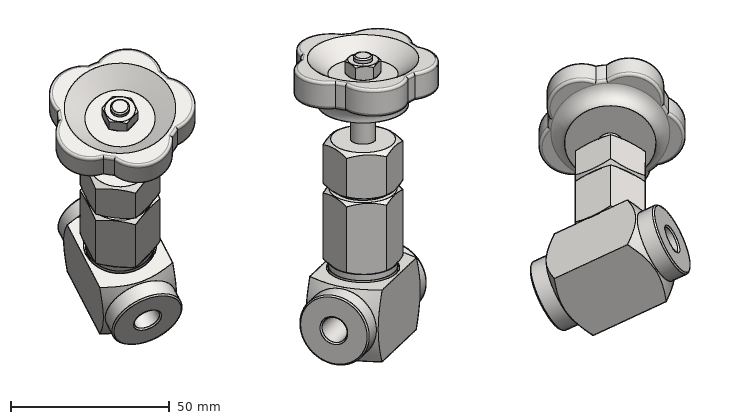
import cadquery as cq
import math

BLOCK_LENGTH = 33.0
BLOCK_SIDE = 25.0
BODY_LENGTH = 44.95
PIPE_END_DIAMETER = 24.0
PIPE_END_CHAMFER = 0.5
PORT_DIAMETER = 8.6
PORT_DEPTH = 13.8
PORT_CHAMFER = 0.5
CORNER_CUT_ANGLE = 30.0

HEX_ACROSS_FLATS = 22.0
NECK_DIAMETER = 21.9
NECK_BOTTOM = 25.4
SHANK_DIAMETER = 21.8
SEAT_DIAMETER = 23.0
SEAT_DEPTH = 1.0
BONNET_BOTTOM = 27.5
BONNET_TOP = 52.5
BONNET_CROWN_DIAMETER = 21.5
GROOVE_DIAMETER = 18.2
GLAND_BOTTOM = 53.4
GLAND_TOP = 69.6
GLAND_CROWN_DIAMETER = 20.45
STEM_DIAMETER = 8.0

HUB_BOTTOM = 81.9
HUB_BOTTOM_RADIUS = 14.4
HUB_FLARE_RADIUS = 18.8
HUB_FLARE_MID_RADIUS = 15.8
HUB_FLARE_MID_HEIGHT = 86.4
RIM_BOTTOM = 88.1
RIM_TOP = 97.7
LOBE_COUNT = 5
LOBE_ANGLE = 3.0
LOBE_OFFSET = 12.8
LOBE_RADIUS = 11.0
RIM_DISC_RADIUS = 19.8
RIM_FILLET = 1.0
DISH_TOP_RADIUS = 17.6
DISH_FLOOR_RADIUS = 11.1
DISH_FLOOR = 92.3

NUT_ACROSS_FLATS = 10.0
NUT_CROWN_DIAMETER = 9.7
NUT_TOP = 97.2
STUD_DIAMETER = 6.0
STUD_CHAMFER = 0.5
TOTAL_HEIGHT = 98.8

CROWN_SLOPE = math.tan(math.radians(CORNER_CUT_ANGLE))


def cylinder(diameter, bottom, top):
    """Upright cylinder on the stem axis."""
    return cq.Workplane("XY").workplane(offset=bottom).circle(diameter / 2).extrude(top - bottom)


def crown_envelope(crown_radius, outer_radius, bottom, top):
    """Solid of revolution about Z whose ends taper at the crown slope from outer_radius to crown_radius."""
    drop = (outer_radius - crown_radius) * CROWN_SLOPE
    outline = [
        (0, bottom),
        (crown_radius, bottom),
        (outer_radius, bottom + drop),
        (outer_radius, top - drop),
        (crown_radius, top),
        (0, top),
    ]
    return cq.Workplane("XZ").polyline(outline).close().revolve(360, (0, 0), (0, 1))


def crowned_hexagon(across_flats, crown_diameter, bottom, top):
    """Upright hexagon with corners on X and conically chamfered ends."""
    across_corners = across_flats / math.cos(math.pi / 6)
    prism = cq.Workplane("XY").workplane(offset=bottom).polygon(6, across_corners).extrude(top - bottom)
    envelope = crown_envelope(crown_diameter / 2, across_corners, bottom, top)
    return prism.intersect(envelope)


def make_body():
    """Square block with conically cut ends, round pipe ends, blind ports and a shallow bonnet seat."""
    block = cq.Workplane("XY").box(BLOCK_LENGTH, BLOCK_SIDE, BLOCK_SIDE)
    envelope = crown_envelope(PIPE_END_DIAMETER / 2, BLOCK_SIDE, -BLOCK_LENGTH / 2, BLOCK_LENGTH / 2)
    block = block.intersect(envelope.rotate((0, 0, 0), (0, 1, 0), 90))
    pipe = cq.Workplane("YZ").circle(PIPE_END_DIAMETER / 2).extrude(BODY_LENGTH / 2, both=True)
    body = block.union(pipe.faces("<X or >X").edges().chamfer(PIPE_END_CHAMFER))
    for side in ("<X", ">X"):
        body = body.faces(side).workplane(centerOption="CenterOfMass").hole(PORT_DIAMETER, PORT_DEPTH)
        body = body.faces(side).edges(cq.selectors.RadiusNthSelector(0)).chamfer(PORT_CHAMFER)
    seat = cylinder(SEAT_DIAMETER, BLOCK_SIDE - SEAT_DEPTH, BLOCK_SIDE)
    return body.translate((0, 0, BLOCK_SIDE / 2)).cut(seat)


def make_bonnet():
    """Shank, neck, bonnet hexagon, groove, gland hexagon and stem."""
    shank = cylinder(SHANK_DIAMETER, BLOCK_SIDE - SEAT_DEPTH, NECK_BOTTOM)
    neck = cylinder(NECK_DIAMETER, NECK_BOTTOM, BONNET_BOTTOM)
    bonnet = crowned_hexagon(HEX_ACROSS_FLATS, BONNET_CROWN_DIAMETER, BONNET_BOTTOM, BONNET_TOP)
    groove = cylinder(GROOVE_DIAMETER, BONNET_TOP, GLAND_BOTTOM)
    gland = crowned_hexagon(HEX_ACROSS_FLATS, GLAND_CROWN_DIAMETER, GLAND_BOTTOM, GLAND_TOP)
    stem = cylinder(STEM_DIAMETER, GLAND_TOP, HUB_BOTTOM)
    return shank.union(neck).union(bonnet).union(groove).union(gland).union(stem)


def rim_disc(radius):
    """Disc of the rim's thickness with both edges rounded."""
    return cylinder(2 * radius, RIM_BOTTOM, RIM_TOP).edges().fillet(RIM_FILLET)


def make_handwheel():
    """Lobed rim on a flared hub, dished from above."""
    rim = rim_disc(RIM_DISC_RADIUS)
    for lobe in range(LOBE_COUNT):
        angle = math.radians(LOBE_ANGLE + lobe * 360 / LOBE_COUNT)
        centre = (LOBE_OFFSET * math.cos(angle), LOBE_OFFSET * math.sin(angle), 0)
        rim = rim.union(rim_disc(LOBE_RADIUS).translate(centre))

    hub = (
        cq.Workplane("XZ")
        .moveTo(0, HUB_BOTTOM)
        .lineTo(HUB_BOTTOM_RADIUS, HUB_BOTTOM)
        .threePointArc((HUB_FLARE_MID_RADIUS, HUB_FLARE_MID_HEIGHT), (HUB_FLARE_RADIUS, RIM_BOTTOM))
        .lineTo(0, RIM_BOTTOM)
        .close()
        .revolve(360, (0, 0), (0, 1))
    )
    dish_outline = [(0, DISH_FLOOR), (DISH_FLOOR_RADIUS, DISH_FLOOR), (DISH_TOP_RADIUS, RIM_TOP), (0, RIM_TOP)]
    dish = cq.Workplane("XZ").polyline(dish_outline).close().revolve(360, (0, 0), (0, 1))
    return rim.union(hub).cut(dish)


def make_wheel_nut():
    """Hexagon nut in the dish with the chamfered stud end above it."""
    nut = crowned_hexagon(NUT_ACROSS_FLATS, NUT_CROWN_DIAMETER, DISH_FLOOR, NUT_TOP)
    stud = cylinder(STUD_DIAMETER, DISH_FLOOR, TOTAL_HEIGHT).faces(">Z").chamfer(STUD_CHAMFER)
    return nut.union(stud)


result = make_body().union(make_bonnet()).union(make_handwheel()).union(make_wheel_nut())